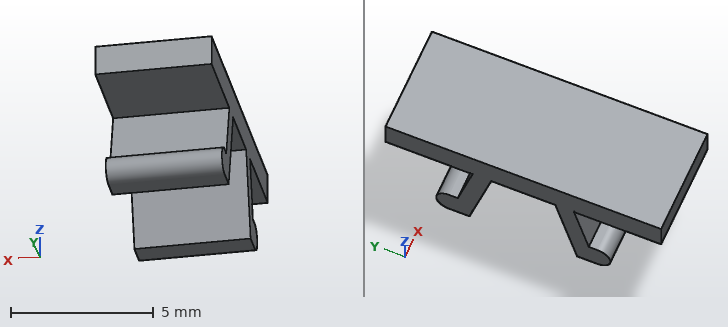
import cadquery as cq
import math

length = 10.5
width = 4.15
plate_thickness = 1.1

total_height = 4.2
leg_angle = 15.0
leg_inner_y = 1.22
leg_outer_y = 1.93
foot_height = 1.0
foot_tip_y = 3.32

foot_radius = foot_height / 2
foot_top_z = foot_height
plate_bottom_z = total_height - plate_thickness
splay = math.tan(math.radians(leg_angle))
inner_bottom_y = leg_inner_y + plate_bottom_z * splay
outer_foot_y = leg_outer_y + (plate_bottom_z - foot_top_z) * splay
foot_round_y = foot_tip_y - foot_radius


def make_plate():
    return (
        cq.Workplane("XY")
        .box(width, length, plate_thickness, centered=(True, True, False))
        .translate((0, 0, plate_bottom_z))
    )


def make_leg():
    """Leg on the +Y side, extruded across the full plate width."""
    return (
        cq.Workplane("YZ")
        .moveTo(leg_inner_y, plate_bottom_z)
        .lineTo(inner_bottom_y, 0)
        .lineTo(foot_round_y, 0)
        .threePointArc((foot_tip_y, foot_radius), (foot_round_y, foot_top_z))
        .lineTo(outer_foot_y, foot_top_z)
        .lineTo(leg_outer_y, plate_bottom_z)
        .close()
        .extrude(width / 2, both=True)
    )


leg = make_leg()
result = make_plate().union(leg).union(leg.mirror("XZ"))